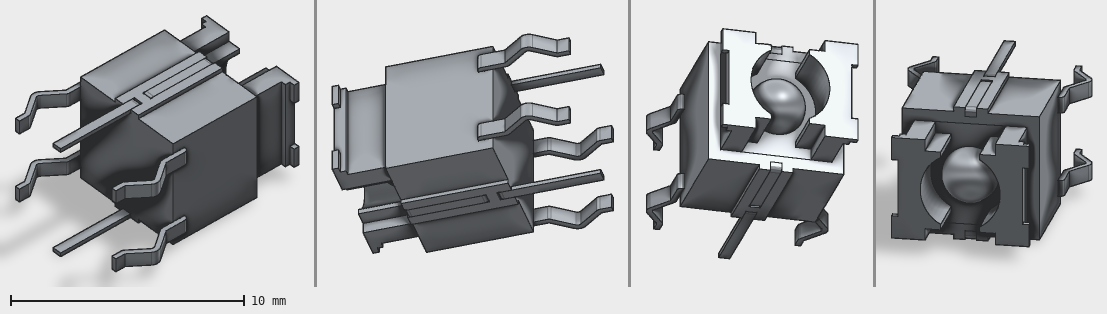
import cadquery as cq
import math


HOUSING_WIDTH = 6.0
HOUSING_LENGTH = 4.8
HOUSING_HEIGHT = 5.6
RAIL_WIDTH = 1.5
RAIL_HEIGHT = 0.2
HALF_WIDTH = HOUSING_WIDTH / 2
HALF_HEIGHT = HOUSING_HEIGHT / 2

LEAD_WIDTH = 0.49
LEAD_THICKNESS = RAIL_HEIGHT
LEAD_REACH = 4.0
BRIDGE_START = 0.65
BRIDGE_END = 1.14
BEND_RADIUS = 0.19
LEAD_TOP = HALF_HEIGHT + RAIL_HEIGHT
LEAD_FLOOR = HALF_HEIGHT - LEAD_THICKNESS

TERMINAL_WIDTH = 0.72
TERMINAL_THICKNESS = 0.26
TERMINAL_SPACING = 3.79
TERMINAL_REACH = 3.5
ANCHOR_TOP = BRIDGE_START
KINK_START = 0.62
KINK_HALF_LENGTH = 1.18
KINK_RISE = 0.86

ACTUATOR_REACH = 2.4
ACTUATOR_HEIGHT = 4.57
BASE_THICKNESS = 0.6
ARM_INNER = 1.53
ARM_OUTER = 2.46
LEDGE_OUTER = 2.72
LEDGE_DEPTH = 0.54
TAB_DEPTH = 0.28
TAB_HEIGHT = 1.01
SHOULDER_INNER = 0.85
SHOULDER_HEIGHT = 3.54
BORE_RADIUS = 1.75
ACTUATOR_TOP = HOUSING_LENGTH + ACTUATOR_REACH
BASE_BOTTOM = HOUSING_LENGTH - BASE_THICKNESS

LAMP_RADIUS = 1.25

SIDES = (-1, 1)


def block(x_range, y_range, z_range):
    """Box between the given limits along each axis."""
    sizes = [end - start for start, end in (x_range, y_range, z_range)]
    corner = (x_range[0], y_range[0], z_range[0])
    return cq.Workplane("XY").box(*sizes, centered=False).translate(corner)


def centred(width):
    """Limits of a span of the given width about zero."""
    return (-width / 2, width / 2)


def mirrored_in_z(shape, side):
    """The shape itself for the +Z side, its mirror image for the -Z side."""
    return shape if side > 0 else shape.mirror("XY")


def make_base_plate():
    return block((-ARM_OUTER, ARM_OUTER), (BASE_BOTTOM, HOUSING_LENGTH), centred(ACTUATOR_HEIGHT))


def make_lead_channel():
    """Space in the housing for the +Z lead: open grooves, tunnel under the bridge, end notch."""
    across = centred(LEAD_WIDTH)
    groove_depth = (HALF_HEIGHT, LEAD_TOP)
    tunnel_depth = (LEAD_FLOOR, HALF_HEIGHT)
    front_groove = block(across, (0, BRIDGE_START), groove_depth)
    rear_groove = block(across, (BRIDGE_END, HOUSING_LENGTH), groove_depth)
    tunnel_span = (BRIDGE_START - LEAD_THICKNESS, BRIDGE_END + LEAD_THICKNESS)
    tunnel = block(across, tunnel_span, tunnel_depth)
    notch = block(across, (HOUSING_LENGTH - LEAD_THICKNESS, HOUSING_LENGTH), tunnel_depth)
    return front_groove.union(rear_groove).union(tunnel).union(notch)


def make_terminal_slot(side_x, side_z):
    """Slot in the housing side for the anchor of one terminal."""
    x_range = sorted((side_x * (HALF_WIDTH - TERMINAL_THICKNESS), side_x * HALF_WIDTH))
    slot = block(x_range, (ANCHOR_TOP - TERMINAL_THICKNESS, ANCHOR_TOP), centred(TERMINAL_WIDTH))
    return slot.translate((0, 0, side_z * TERMINAL_SPACING / 2))


def make_housing():
    length = (0, HOUSING_LENGTH)
    body = block(centred(HOUSING_WIDTH), length, centred(HOUSING_HEIGHT))
    body = body.union(block(centred(RAIL_WIDTH), length, (-LEAD_TOP, LEAD_TOP)))
    body = body.cut(make_base_plate())
    for side_z in SIDES:
        body = body.cut(mirrored_in_z(make_lead_channel(), side_z))
        for side_x in SIDES:
            body = body.cut(make_terminal_slot(side_x, side_z))
    return body


def make_lead(side):
    """Flat lead that hooks over the housing end, dips under the bridge and runs out past y = 0."""
    outline = [
        (-LEAD_REACH, HALF_HEIGHT),
        (-LEAD_REACH, LEAD_TOP),
        (BRIDGE_START, LEAD_TOP),
        (BRIDGE_START, HALF_HEIGHT),
        (BRIDGE_END, HALF_HEIGHT),
        (BRIDGE_END, LEAD_TOP),
        (HOUSING_LENGTH, LEAD_TOP),
        (HOUSING_LENGTH, LEAD_FLOOR),
        (HOUSING_LENGTH - LEAD_THICKNESS, LEAD_FLOOR),
        (HOUSING_LENGTH - LEAD_THICKNESS, HALF_HEIGHT),
        (BRIDGE_END + LEAD_THICKNESS, HALF_HEIGHT),
        (BRIDGE_END + LEAD_THICKNESS, LEAD_FLOOR),
        (BRIDGE_START - LEAD_THICKNESS, LEAD_FLOOR),
        (BRIDGE_START - LEAD_THICKNESS, HALF_HEIGHT),
    ]
    lead = cq.Workplane("YZ").polyline(outline).close().extrude(LEAD_WIDTH / 2, both=True)
    for bend_y in (BRIDGE_START, BRIDGE_END, HOUSING_LENGTH):
        outer_edge = cq.selectors.NearestToPointSelector((0, bend_y, LEAD_TOP))
        lead = lead.edges("|X").edges(outer_edge).fillet(BEND_RADIUS)
    return mirrored_in_z(lead, side)


def make_terminal(side_x, side_z):
    """Strip anchored in the housing side, with an outward kink of constant thickness."""
    kink_angle = math.atan2(KINK_RISE, KINK_HALF_LENGTH)
    bend_shift = TERMINAL_THICKNESS * math.tan(kink_angle / 2)
    inner = HALF_WIDTH
    outer = HALF_WIDTH + TERMINAL_THICKNESS
    anchor = HALF_WIDTH - TERMINAL_THICKNESS
    crest_outer = outer + KINK_RISE
    crest_inner = crest_outer - TERMINAL_THICKNESS / math.cos(kink_angle)
    crest_y = -KINK_START - KINK_HALF_LENGTH
    kink_end = crest_y - KINK_HALF_LENGTH
    outline = [
        (anchor, ANCHOR_TOP),
        (outer, ANCHOR_TOP),
        (outer, -KINK_START),
        (crest_outer, crest_y),
        (outer, kink_end),
        (outer, -TERMINAL_REACH),
        (inner, -TERMINAL_REACH),
        (inner, kink_end + bend_shift),
        (crest_inner, crest_y),
        (inner, -KINK_START - bend_shift),
        (inner, ANCHOR_TOP - TERMINAL_THICKNESS),
        (anchor, ANCHOR_TOP - TERMINAL_THICKNESS),
    ]
    strip = cq.Workplane("XY").polyline(outline).close().extrude(TERMINAL_WIDTH / 2, both=True)
    rounded_corners = [
        (outer, ANCHOR_TOP, BEND_RADIUS),
        (crest_outer, crest_y, BEND_RADIUS + TERMINAL_THICKNESS),
        (crest_inner, crest_y, BEND_RADIUS),
        (inner, -KINK_START - bend_shift, TERMINAL_THICKNESS),
        (inner, kink_end + bend_shift, TERMINAL_THICKNESS),
    ]
    for x, y, radius in rounded_corners:
        corner_edge = cq.selectors.NearestToPointSelector((x, y, 0))
        strip = strip.edges("|Z").edges(corner_edge).fillet(radius)
    if side_x < 0:
        strip = strip.mirror("YZ")
    return strip.translate((0, 0, side_z * TERMINAL_SPACING / 2))


def make_arm():
    """The +X arm: a post with a ledge and two corner tabs outside, and a bored shoulder inside."""
    full_height = centred(ACTUATOR_HEIGHT)
    rise = (HOUSING_LENGTH, ACTUATOR_TOP)
    arm = block((ARM_INNER, ARM_OUTER), rise, full_height)
    ledge_span = (ACTUATOR_TOP - LEDGE_DEPTH, ACTUATOR_TOP)
    arm = arm.union(block((ARM_OUTER, LEDGE_OUTER), ledge_span, full_height))

    half_height = ACTUATOR_HEIGHT / 2
    tab_span = (ACTUATOR_TOP - TAB_DEPTH, ACTUATOR_TOP)
    tab = block((LEDGE_OUTER, HALF_WIDTH), tab_span, (half_height - TAB_HEIGHT, half_height))
    for side in SIDES:
        arm = arm.union(mirrored_in_z(tab, side))

    shoulder = block((SHOULDER_INNER, ARM_INNER), rise, centred(SHOULDER_HEIGHT))
    lamp_bore = cq.Workplane("XZ", origin=(0, ACTUATOR_TOP, 0)).circle(BORE_RADIUS).extrude(ACTUATOR_REACH)
    return arm.union(shoulder).cut(lamp_bore)


def make_actuator():
    arm = make_arm()
    return make_base_plate().union(arm).union(arm.mirror("YZ"))


def make_lamp():
    """Half ball resting on the actuator's base plate."""
    ball = cq.Workplane("XY").sphere(LAMP_RADIUS).translate((0, HOUSING_LENGTH, 0))
    across = centred(2 * LAMP_RADIUS)
    upper_half = block(across, (HOUSING_LENGTH, HOUSING_LENGTH + LAMP_RADIUS), across)
    return ball.intersect(upper_half)


housing = make_housing()
actuator = make_actuator()
lamp = make_lamp()
leads = [make_lead(side) for side in SIDES]
terminals = [make_terminal(side_x, side_z) for side_x in SIDES for side_z in SIDES]

result = cq.Compound.makeCompound([
    housing.val(),
    actuator.val(),
    lamp.val(),
    *[lead.val() for lead in leads],
    *[terminal.val() for terminal in terminals],
])